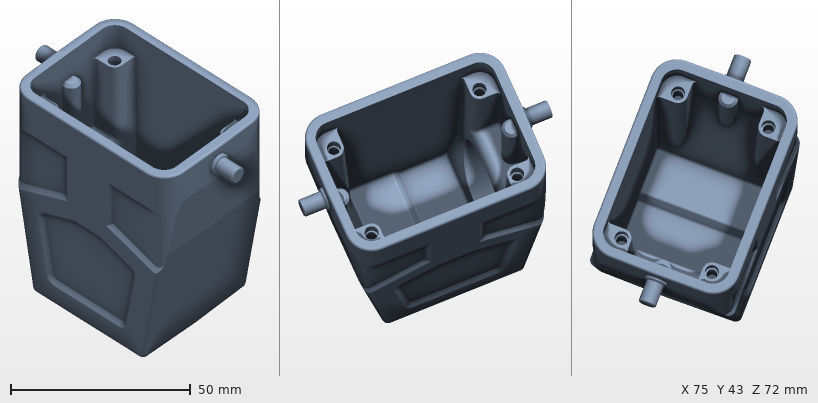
import cadquery as cq
import math

height = 72.0
depth = 43.0
half_depth = depth / 2
waist_z = 61.0
waist_half_width = 30.1
knee_z = 42.2
knee_half_width = 28.35
base_half_width = 21.45
draft = 0.8
plan_radius = 7.5
edge_radius = 1.9
rim_radius = 0.7
split_z = 45.0
clearance = 7.5
margin = 0.75

recess_depth = 1.05
recess_wall_run = 1.65
recess_wall_angle = math.degrees(math.atan(recess_wall_run / recess_depth))
slant_angle = 20.0
slant = math.tan(math.radians(slant_angle))
pocket_inner_x = 7.4
pocket_top_z = 59.1
pocket_inner_z = 42.6
pocket_corner_radius = 3.1
pocket_cut_depth = 3.4
panel_top_half = 5.2
panel_top_z = 37.0
panel_shoulder_half = 19.0
panel_base_half = 14.7
panel_base_z = 7.8
panel_radius = 3.0

mouth_half_x = 26.9
mouth_half_y = 18.5
mouth_radius = 4.65
pad_z = 63.3
cavity_draft = 1.1
ledge_z = 37.5
floor_z = 4.05
floor_left_x = -13.7
floor_step = 2.1
step_x = 0.6
floor_right_x = 16.2
floor_radius = 0.8
end_wall_foot_x = 26.55
end_wall_foot_z = 45.75
end_slope = (end_wall_foot_x - floor_right_x) / (end_wall_foot_z - floor_z - floor_step)
bay_rise = 2.25
bay_radius = 1.1

screw_spacing_x = 44.0
screw_spacing_y = 26.9
screw_x = screw_spacing_x / 2
screw_y = screw_spacing_y / 2
pillar_radius = 2.8
pillar_inner_x = screw_x - pillar_radius
pillar_inner_y = screw_y - pillar_radius
pillar_face_draft = 2.2
pillar_face_slope = math.tan(math.radians(pillar_face_draft))
screw_radius = 1.5
screw_depth = 11.25
counterbore_radius = 1.95
counterbore_depth = 3.75

post_top_z = 62.55
post_x = 25.95
post_radius = 2.7
post_chamfer = 0.8

pin_z = 65.8
pin_radius = 2.55
pin_tip_x = 37.5
pin_chamfer = 0.3
collar_radius = 3.3
collar_x = 31.05
collar_chamfer = 0.4

entry_z = 20.0
entry_radius = 13.4
entry_chamfer = 1.05
entry_overshoot = 0.75
entry_reach = 12.0


def box_between(x0, x1, y0, y1, z0, z1):
    """Box between two limits along each axis."""
    return cq.Workplane("XY").box(x1 - x0, y1 - y0, z1 - z0, centered=False).translate((x0, y0, z0))


def mirrored_xy(shape):
    """The shape with its mirror images across both vertical mid planes."""
    pair = shape.union(shape.mirror("YZ"))
    return pair.union(pair.mirror("XZ"))


def drafted_half():
    """The -Y half with its leaning sides, narrowing by the draft from the mid plane outwards."""
    lean = (waist_half_width - knee_half_width) / (waist_z - knee_z)
    overshoot_half = waist_half_width + lean * (height + clearance - waist_z)
    right = [(base_half_width, 0), (knee_half_width, knee_z), (overshoot_half, height + clearance)]
    outline = right + [(-x, z) for x, z in reversed(right)]
    return cq.Workplane("XZ").polyline(outline).close().extrude(half_depth, taper=draft)


def upright_plan(half_y):
    """Upright column with the rounded corners of the upper part, cut flat at +-half_y."""
    corner_x = waist_half_width - half_depth * math.tan(math.radians(draft))
    back = [(waist_half_width, 0), (corner_x, half_depth), (-corner_x, half_depth), (-waist_half_width, 0)]
    outline = back + [(-corner_x, -half_depth), (corner_x, -half_depth)]
    column = cq.Workplane("XY").polyline(outline).close().extrude(height)
    for side in (">Y", "<Y"):
        column = column.faces(side).edges("|Z").fillet(plan_radius)
    reach = waist_half_width + clearance
    flats = box_between(-reach, reach, -half_y, half_y, 0, height)
    return column.intersect(flats)


def outer_body():
    """Solid hood: upright rounded upper part on a leaning lower part with small edge rounds."""
    reach = waist_half_width + clearance
    half = drafted_half()
    lower_half = half.intersect(box_between(-reach, reach, -reach, 0, -clearance, split_z))
    base_sides = lower_half.faces("<Z").edges("not |X")
    lower_half = lower_half.faces("<Y").edges("not >Z").add(base_sides).fillet(edge_radius)
    lower = lower_half.union(lower_half.mirror("XZ"))
    upper = half.union(half.mirror("XZ")).intersect(upright_plan(half_depth))
    upper = upper.intersect(box_between(-reach, reach, -reach, reach, split_z, height))
    upper = upper.faces(">Z").edges().fillet(rim_radius)
    return lower.union(upper)


def pocket_cutter():
    """Corner recess above a slanted ledge; everything outside the sunken column is cut away."""
    outer_x = waist_half_width + clearance
    ledge_outer_z = pocket_inner_z - slant * (outer_x - pocket_inner_x)
    outline = [
        (pocket_inner_x, pocket_top_z),
        (outer_x, pocket_top_z),
        (outer_x, ledge_outer_z),
        (pocket_inner_x, pocket_inner_z),
    ]
    cutter = (
        cq.Workplane("XZ", origin=(0, -half_depth, 0))
        .polyline(outline)
        .close()
        .extrude(-pocket_cut_depth, taper=recess_wall_angle)
    )
    sunken = upright_plan(half_depth - recess_depth)
    sunken = sunken.faces("<Y or >Y").edges("|Z").fillet(pocket_corner_radius)
    return cutter.cut(sunken)


def panel_cutter():
    """Five-sided recess in the middle of the -Y face."""
    right = [
        (panel_top_half, panel_top_z),
        (panel_shoulder_half, panel_top_z - slant * (panel_shoulder_half - panel_top_half)),
        (panel_base_half, panel_base_z),
    ]
    outline = right + [(-x, z) for x, z in reversed(right)]
    prism = cq.Workplane("XZ").polyline(outline).close().extrude(margin)
    corners = prism.edges("|Y").fillet(panel_radius)
    wire = corners.faces("<Y").wires().val().translate(cq.Vector(0, margin - half_depth, 0))
    return (
        cq.Workplane("XZ", origin=(0, -half_depth, 0))
        .add(wire)
        .toPending()
        .extrude(-recess_depth, taper=recess_wall_angle)
    )


def drafted_pit(half_x, half_y):
    """Void below the pillar tops, narrowing downwards on all four sides."""
    top = cq.Workplane("XY", origin=(0, 0, pad_z)).rect(2 * half_x, 2 * half_y)
    return top.extrude(-pad_z, taper=cavity_draft)


def profile_block(outline):
    """Front outline drawn out through the full width of the mouth."""
    return cq.Workplane("XZ").polyline(outline).close().extrude(mouth_half_y, both=True)


def main_pit():
    """Void between the pillars, with a stepped floor and ends that lean in near it."""
    right_floor_z = floor_z + floor_step
    slope_change = end_slope - pillar_face_slope
    face_foot_x = pillar_inner_x - pillar_face_slope * pad_z
    left_knee_z = (face_foot_x + floor_left_x + end_slope * floor_z) / slope_change
    right_knee_z = (face_foot_x - floor_right_x + end_slope * right_floor_z) / slope_change
    outline = [
        (-pillar_inner_x, pad_z),
        (-face_foot_x - pillar_face_slope * left_knee_z, left_knee_z),
        (floor_left_x, floor_z),
        (step_x, floor_z),
        (step_x + floor_step, right_floor_z),
        (floor_right_x, right_floor_z),
        (face_foot_x + pillar_face_slope * right_knee_z, right_knee_z),
        (pillar_inner_x, pad_z),
    ]
    pit = drafted_pit(2 * mouth_half_x, mouth_half_y).intersect(profile_block(outline))
    floor_edges = cq.selectors.BoxSelector(
        (floor_left_x - margin, -mouth_half_y, 0),
        (floor_right_x + margin, mouth_half_y, right_floor_z + floor_radius),
    )
    return pit.edges(floor_edges).fillet(floor_radius)


def left_bay():
    """Void between the -X pillars, standing on a ledge above the cable entry."""
    outline = [(-mouth_half_x, pad_z), (-mouth_half_x, ledge_z), (0, ledge_z), (0, pad_z)]
    return drafted_pit(2 * mouth_half_x, pillar_inner_y).intersect(profile_block(outline))


def right_bay():
    """Void between the +X pillars, ending at the leaning end wall."""
    right_floor_z = floor_z + floor_step
    outline = [
        (0, pad_z),
        (mouth_half_x, pad_z),
        (end_wall_foot_x, end_wall_foot_z),
        (floor_right_x + end_slope * bay_rise, right_floor_z + bay_rise),
        (0, right_floor_z + bay_rise),
    ]
    return drafted_pit(2 * mouth_half_x, pillar_inner_y).intersect(profile_block(outline))


def upright_edges(pit, pillar_x, y_min, y_max):
    """Upright edges of the void near the pillar faces at one end, within a range of Y."""
    low_z = end_wall_foot_z / 2
    return pit.edges(cq.selectors.BoxSelector(
        (pillar_x - 2 * margin, y_min, low_z), (pillar_x + 2 * margin, y_max, pad_z - margin)))


def round_pillars(pit, pillar_x):
    """Round the upright edges of the two pillars at one end, and the ledge edge where there is one."""
    reach = pillar_inner_y + margin
    return upright_edges(pit, pillar_x, -reach, reach).fillet(pillar_radius)


def cavity():
    """Open mouth, the void below it and the rounding around the four pillars."""
    mouth = (
        cq.Workplane("XY", origin=(0, 0, pad_z))
        .rect(2 * mouth_half_x, 2 * mouth_half_y)
        .extrude(height - pad_z)
        .edges("|Z")
        .fillet(mouth_radius)
    )
    pit = main_pit().union(left_bay())
    pit = round_pillars(pit, -pillar_inner_x)
    left_corners = cq.selectors.BoxSelector(
        (-mouth_half_x - margin, -mouth_half_y, ledge_z - margin), (-screw_x, mouth_half_y, pad_z - margin))
    pit = pit.edges(left_corners).fillet(bay_radius)
    pit = round_pillars(pit.union(right_bay()), pillar_inner_x)
    right_corners = cq.selectors.BoxSelector(
        (screw_x + margin, -mouth_half_y, floor_z), (mouth_half_x + margin, mouth_half_y, pad_z - margin))
    pit = pit.edges(right_corners).edges("not |Y").fillet(bay_radius)
    for x in (-pillar_inner_x, pillar_inner_x):
        pit = upright_edges(pit, x, -mouth_half_y, 2 * margin - mouth_half_y).fillet(floor_radius)
        pit = upright_edges(pit, x, mouth_half_y - 2 * margin, mouth_half_y).fillet(floor_radius)
    return pit.union(mouth)


def post():
    """Round post with a chamfered top on the +X side; its outer part is buried in the end wall."""
    round_post = (
        cq.Workplane("XY", origin=(post_x, 0, ledge_z))
        .circle(post_radius)
        .extrude(post_top_z - ledge_z)
        .faces(">Z")
        .chamfer(post_chamfer)
    )
    reach = mouth_half_x
    return round_post.intersect(box_between(0, reach, -reach, reach, 0, height))


def pin():
    """Locking pin on the +X side, with the collar at its root."""
    root_x = (mouth_half_x + waist_half_width) / 2
    shaft = (
        cq.Workplane("YZ", origin=(root_x, 0, pin_z))
        .circle(pin_radius)
        .extrude(pin_tip_x - root_x)
        .faces(">X")
        .chamfer(pin_chamfer)
    )
    collar = (
        cq.Workplane("YZ", origin=(root_x, 0, pin_z))
        .circle(collar_radius)
        .extrude(collar_x - root_x)
        .faces(">X")
        .chamfer(collar_chamfer)
    )
    return shaft.union(collar)


def screw_hole():
    """Counterbored blind hole in the +X +Y pillar."""
    top = cq.Workplane("XY", origin=(screw_x, screw_y, pad_z))
    return top.circle(screw_radius).extrude(-screw_depth).union(
        top.circle(counterbore_radius).extrude(-counterbore_depth))


def cable_entry():
    """Round bore with a flared mouth, running in square to the lower part of the -X face."""
    side_slope = (knee_half_width - base_half_width) / knee_z
    mouth_x = -(base_half_width + side_slope * entry_z)
    inward = cq.Vector(1, 0, side_slope).normalized()
    start = cq.Vector(mouth_x, 0, entry_z) - inward * entry_overshoot
    bore = cq.Solid.makeCylinder(entry_radius, entry_reach, start, inward)
    flare_radius = entry_radius + entry_chamfer + entry_overshoot
    flare = cq.Solid.makeCone(flare_radius, entry_radius, flare_radius - entry_radius, start, inward)
    return cq.Workplane(bore).union(cq.Workplane(flare))


result = outer_body().cut(mirrored_xy(pocket_cutter()))
panel = panel_cutter()
result = result.cut(panel).cut(panel.mirror("XZ"))
result = result.cut(cavity())
for feature in (post(), pin()):
    result = result.union(feature).union(feature.mirror("YZ"))
result = result.cut(mirrored_xy(screw_hole()))
result = result.cut(cable_entry())